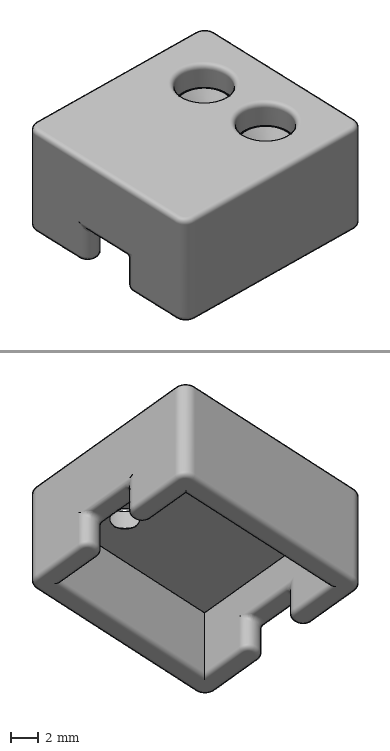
import cadquery as cq

length_x = 16.8
length_y = 18.0
height = 9.2
corner_radius = 1.0
edge_radius = 0.4

hole_spacing = 6.5
hole_to_back = 5.0
bore_diameter = 4.4
bore_depth = 2.0
cone_diameter = 4.2
hole_diameter = 2.2
cone_depth = (cone_diameter - hole_diameter) / 2

wall = 1.8
cavity_height = height - bore_depth - cone_depth

slot_width = 4.0
slot_height = 3.0
slot_side_radius = 0.85


def centered_box(size_x, size_y, size_z):
    """Box standing on Z = 0 and centred on the Z axis."""
    return cq.Workplane("XY").box(size_x, size_y, size_z, centered=(True, True, False))


def make_shell():
    """Block with rounded upright edges and a cavity open at the bottom."""
    block = centered_box(length_x, length_y, height).edges("|Z").fillet(corner_radius)
    return block.cut(centered_box(length_x - 2 * wall, length_y - 2 * wall, cavity_height))


def cut_slots(body):
    """Cut the front and back slots and round their upright edges."""
    body = body.cut(centered_box(slot_width, length_y, slot_height))
    slot_zone = cq.selectors.BoxSelector(
        (-slot_width, -length_y, 0),
        (slot_width, length_y, slot_height),
    )
    return body.edges("|Z").edges(slot_zone).fillet(slot_side_radius)


def screw_hole_cutter(x):
    """Turned profile of one countersunk hole, placed at the given X."""
    seat_z = height - bore_depth
    profile = [
        (0, height),
        (bore_diameter / 2, height),
        (bore_diameter / 2, seat_z),
        (cone_diameter / 2, seat_z),
        (hole_diameter / 2, cavity_height),
        (0, cavity_height),
    ]
    cutter = cq.Workplane("XZ").polyline(profile).close().revolve(360, (0, 0, 0), (0, 1, 0))
    return cutter.translate((x, length_y / 2 - hole_to_back, 0))


def round_rims(body):
    """Round the top rim with the bore mouths, then the whole bottom rim."""
    body = body.faces(">Z").edges().fillet(edge_radius)
    return body.faces("<Z").edges().fillet(edge_radius)


def round_slot_ceilings(body):
    """Round the long ceiling edges of the slots, then the inside corners beside them."""
    ceiling_zone = cq.selectors.BoxSelector(
        (-slot_width, -length_y, slot_height - edge_radius),
        (slot_width, length_y, slot_height + edge_radius),
    )
    body = body.edges("|X").edges(ceiling_zone).fillet(edge_radius)
    return body.edges("not |X").edges(ceiling_zone).fillet(edge_radius)


result = cut_slots(make_shell())
for side in (-1, 1):
    result = result.cut(screw_hole_cutter(side * hole_spacing / 2))
result = round_slot_ceilings(round_rims(result))